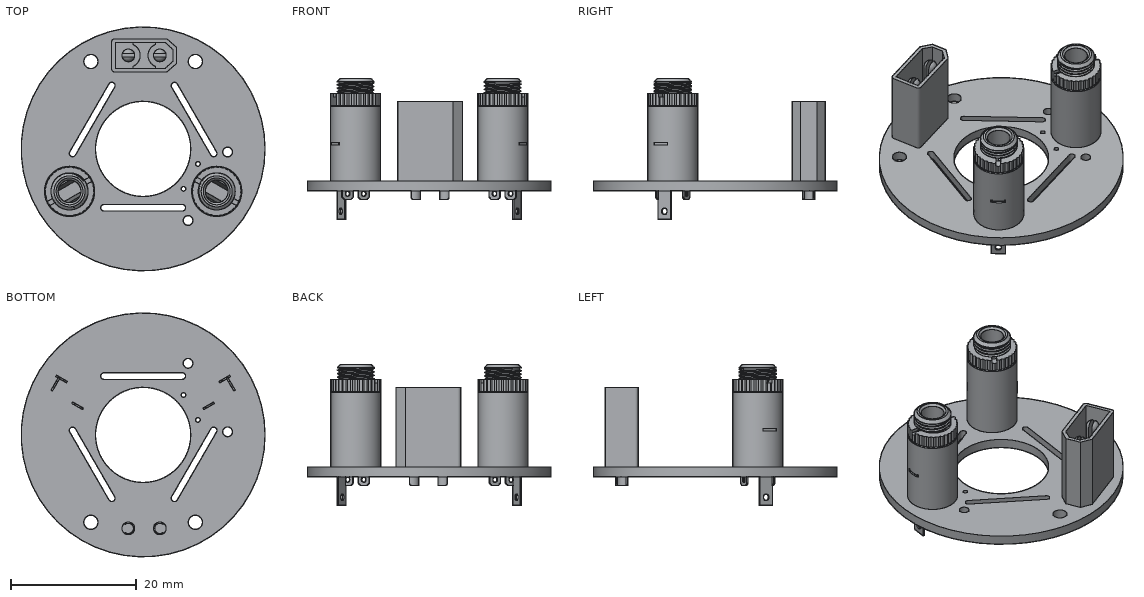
import cadquery as cq
import math


ROUNDING_MARGIN = 0.005

PLATE_DIAMETER = 38.8
PLATE_THICKNESS = 1.6
PLATE_BORE_DIAMETER = 15.1
SLOT_WIDTH = 1.0
SLOT_LENGTH = 13.45
SLOT_RADIUS = 9.35
SLOT_ANGLES = (30, 150, 270)
MOUNT_HOLE_DIAMETER = 2.2
MOUNT_HOLE_X = 8.3
MOUNT_HOLE_Y = 13.9
LARGE_JACK_HOLE_DIAMETER = 1.5
LARGE_JACK_HOLE_PLACE = (11.87, 6.3)
SMALL_JACK_HOLE_DIAMETER = 0.7
SMALL_JACK_HOLE_PLACE = (8.73, 2.3)

CONNECTOR_X = 0.15
CONNECTOR_Y = 14.85
HOUSING_LENGTH = 10.32
HOUSING_WIDTH = 5.28
HOUSING_HEIGHT = 12.6
HOUSING_WALL = 0.6
HOUSING_CORNER_RADIUS = 0.5
KEY_CHAMFER_X = 1.55
KEY_CHAMFER_Y = 1.35
INNER_KEY_CHAMFER_X = 1.2
INNER_KEY_CHAMFER_Y = 1.13
HOUSING_FLOOR_HEIGHT = 4.65
SEAT_DIAMETER = 3.75
SEAT_DEPTH = 0.4
SEAT_SHOULDER = 0.7

PIN_DIAMETER = 2.0
PIN_SPACING = 5.0
PIN_TIP_HEIGHT = 11.52
PIN_SLIT_WIDTH = 0.55
PIN_SLIT_DEPTH = 3.1
PIN_TAIL_LENGTH = 1.4
SOLDER_CUP_DIAMETER = 1.63
SOLDER_CUP_CUT = 0.5
SOLDER_CUP_CORNER_RADIUS = 0.35

JACK_RADIUS = 13.5
LEFT_JACK_ANGLE = 210
RIGHT_JACK_ANGLE = 330
JACK_PLACES = ((LEFT_JACK_ANGLE, 1), (RIGHT_JACK_ANGLE, -1))
JACK_DIAMETER = 8.0
JACK_BODY_HEIGHT = 11.95
JACK_HEIGHT = 16.25
SEAM_HEIGHT = 6.05
JACK_BODY_CHAMFER = 0.15
NUT_TOP_HEIGHT = 13.9
NUT_DIAMETER = 8.0
KNURL_COUNT = 32
KNURL_DEPTH = 0.2
NUT_NOTCH_WIDTH = 0.78
NUT_NOTCH_DEPTH = 0.55
LATCH_WIDTH = 2.4
LATCH_HEIGHT = 0.35
LATCH_DEPTH = 0.3
THREAD_DIAMETER = 5.9
THREAD_ROOT_DIAMETER = 5.3
THREAD_PITCH = 0.55
THREAD_TIP_DIAMETER = 4.93
THREAD_LEAD_LENGTH = 0.55
THREAD_FLANK = 0.4 * THREAD_PITCH
THREAD_EMBED = 0.08
JACK_BORE_DIAMETER = 3.6
JACK_BORE_MOUTH_DIAMETER = 4.25
JACK_FLOOR_HEIGHT = 1.55
SPRING_WIDTH = 2.7
SPRING_FOOT = 0.97
SPRING_RIDGE = 1.5
SPRING_HEIGHT = 7.0
SPRING_BACK_DROP = 0.78
SPRING_EMBED = 0.2

TAB_THICKNESS = 0.27
LONG_TAB_WIDTH = 2.33
LONG_TAB_DROP = 4.55
LONG_TAB_RADIUS = 2.6
LONG_TAB_HOLE_DIAMETER = 1.0
LONG_TAB_HOLE_DROP = 3.25
SHORT_TAB_WIDTH = 1.98
SHORT_TAB_DROP = 1.4
SHORT_TAB_X = 2.17
SHORT_TAB_Y = 1.2
SHORT_TAB_CHAMFER = 0.4
SHORT_TAB_HOLE_DIAMETER = 0.8
SHORT_TAB_HOLE_DROP = 0.45


def cylinder(diameter, bottom, top):
    return cq.Workplane("XY", origin=(0, 0, bottom)).circle(diameter / 2).extrude(top - bottom)


def block(size_x, size_y, bottom, top, x=0.0, y=0.0):
    return cq.Workplane("XY", origin=(x, y, bottom)).rect(size_x, size_y).extrude(top - bottom)


def turned(shape, angle):
    return shape.rotate((0, 0, 0), (0, 0, 1), angle)


def place_at_jack(shape, angle):
    """Turn a shape so that its +X points outward, then move it to a jack's place."""
    return turned(shape.translate((JACK_RADIUS, 0, 0)), angle)


def keyed_outline(length, width, chamfer_x, chamfer_y, bottom, top):
    """A rectangular block with its two +X corners cut off."""
    end_x = length / 2
    side_y = width / 2
    points = [
        (-end_x, -side_y),
        (end_x - chamfer_x, -side_y),
        (end_x, -side_y + chamfer_y),
        (end_x, side_y - chamfer_y),
        (end_x - chamfer_x, side_y),
        (-end_x, side_y),
    ]
    return cq.Workplane("XY", origin=(0, 0, bottom)).polyline(points).close().extrude(top - bottom)


def make_housing():
    shell = keyed_outline(
        HOUSING_LENGTH, HOUSING_WIDTH, KEY_CHAMFER_X, KEY_CHAMFER_Y, 0, HOUSING_HEIGHT
    )
    shell = shell.edges("|Z and <X").fillet(HOUSING_CORNER_RADIUS)
    inner_length = HOUSING_LENGTH - 2 * HOUSING_WALL
    inner_width = HOUSING_WIDTH - 2 * HOUSING_WALL

    def cavity(bottom):
        return keyed_outline(
            inner_length, inner_width, INNER_KEY_CHAMFER_X, INNER_KEY_CHAMFER_Y, bottom, HOUSING_HEIGHT
        )

    shell = shell.cut(cavity(HOUSING_FLOOR_HEIGHT))

    seat_bottom = HOUSING_FLOOR_HEIGHT - SEAT_DEPTH
    for side in (-1, 1):
        pin_x = side * PIN_SPACING / 2
        seat = cylinder(SEAT_DIAMETER, seat_bottom, HOUSING_HEIGHT).translate((pin_x, 0, 0))
        seat_block_x = pin_x + side * (HOUSING_LENGTH / 4 - SEAT_SHOULDER)
        seat = seat.union(
            block(HOUSING_LENGTH / 2, HOUSING_WIDTH, seat_bottom, HOUSING_HEIGHT, seat_block_x)
        )
        shell = shell.cut(seat.intersect(cavity(seat_bottom)))
        shell = shell.cut(cylinder(PIN_DIAMETER, 0, HOUSING_HEIGHT).translate((pin_x, 0, 0)))
    return shell.translate((CONNECTOR_X, CONNECTOR_Y, 0))


def make_pin(side):
    """A round-tipped split pin whose solder cup opens toward the near end of the housing."""
    tail_bottom = -PLATE_THICKNESS - PIN_TAIL_LENGTH
    pin = cylinder(PIN_DIAMETER, tail_bottom, PIN_TIP_HEIGHT)
    pin = pin.faces(">Z").edges().fillet(PIN_DIAMETER / 2 - ROUNDING_MARGIN)
    pin = pin.cut(
        block(PIN_DIAMETER, PIN_SLIT_WIDTH, PIN_TIP_HEIGHT - PIN_SLIT_DEPTH, PIN_TIP_HEIGHT)
    )
    opening_x = side * (SOLDER_CUP_CUT + PIN_DIAMETER / 2)
    pin = pin.cut(block(PIN_DIAMETER, PIN_DIAMETER, tail_bottom, -PLATE_THICKNESS, opening_x))
    cup_corner = (side * SOLDER_CUP_CUT, 0, tail_bottom)
    pin = pin.edges(cq.NearestToPointSelector(cup_corner)).fillet(SOLDER_CUP_CORNER_RADIUS)
    pin = pin.cut(cylinder(SOLDER_CUP_DIAMETER, tail_bottom, -PLATE_THICKNESS))
    return pin.translate((CONNECTOR_X + side * PIN_SPACING / 2, CONNECTOR_Y, 0))


def long_tab():
    bottom = -PLATE_THICKNESS - LONG_TAB_DROP
    tab = block(TAB_THICKNESS, LONG_TAB_WIDTH, bottom, 0, LONG_TAB_RADIUS)
    hole = (
        cq.Workplane("YZ")
        .center(0, -PLATE_THICKNESS - LONG_TAB_HOLE_DROP)
        .circle(LONG_TAB_HOLE_DIAMETER / 2)
        .extrude(JACK_DIAMETER)
    )
    return tab.cut(hole)


def short_tabs(hand):
    bottom = -PLATE_THICKNESS - SHORT_TAB_DROP
    tab = block(SHORT_TAB_WIDTH, TAB_THICKNESS, bottom, 0)
    tab = tab.faces("<Z").edges("|Y").chamfer(SHORT_TAB_CHAMFER)
    hole = (
        cq.Workplane("XZ")
        .center(0, -PLATE_THICKNESS - SHORT_TAB_HOLE_DROP)
        .circle(SHORT_TAB_HOLE_DIAMETER / 2)
        .extrude(TAB_THICKNESS, both=True)
    )
    tab = tab.cut(hole).translate((SHORT_TAB_X, hand * SHORT_TAB_Y, 0))
    return tab.union(turned(tab, 180))


def knurled_nut():
    """A ring of triangular teeth, notched across the top for a pin wrench."""
    outline = []
    for index in range(2 * KNURL_COUNT):
        radius = NUT_DIAMETER / 2 - KNURL_DEPTH * (index % 2)
        angle = math.pi * index / KNURL_COUNT
        outline.append((radius * math.cos(angle), radius * math.sin(angle)))
    nut = (
        cq.Workplane("XY", origin=(0, 0, JACK_BODY_HEIGHT))
        .polyline(outline)
        .close()
        .extrude(NUT_TOP_HEIGHT - JACK_BODY_HEIGHT)
    )
    notch = block(NUT_DIAMETER, NUT_NOTCH_WIDTH, NUT_TOP_HEIGHT - NUT_NOTCH_DEPTH, NUT_TOP_HEIGHT)
    return nut.cut(notch)


def threaded_collar():
    """A core with a helical ridge that starts inside the nut and ends in a chamfered lead ring."""
    root = THREAD_ROOT_DIAMETER / 2
    core = cylinder(THREAD_ROOT_DIAMETER, JACK_BODY_HEIGHT, JACK_HEIGHT - THREAD_LEAD_LENGTH)
    lead = cylinder(THREAD_DIAMETER, JACK_HEIGHT - THREAD_LEAD_LENGTH, JACK_HEIGHT)
    lead = lead.faces(">Z").chamfer((THREAD_DIAMETER - THREAD_TIP_DIAMETER) / 2)
    ridge_profile = [
        (root - THREAD_EMBED, -THREAD_FLANK),
        (root - THREAD_EMBED, THREAD_FLANK),
        (THREAD_DIAMETER / 2, 0),
    ]
    start = NUT_TOP_HEIGHT - THREAD_FLANK
    helix = cq.Wire.makeHelix(THREAD_PITCH, JACK_HEIGHT - THREAD_LEAD_LENGTH - start, root)
    ridge = cq.Workplane("XZ").polyline(ridge_profile).close().sweep(cq.Workplane(obj=helix), isFrenet=True)
    return core.union(lead).union(ridge.translate((0, 0, start)), clean=False)


def contact_springs():
    """Two ridged strips that face each other across the bore."""
    embedded = JACK_BORE_DIAMETER / 2 + SPRING_EMBED
    top = JACK_FLOOR_HEIGHT + SPRING_HEIGHT
    profile = [
        (SPRING_FOOT, JACK_FLOOR_HEIGHT),
        (SPRING_RIDGE, top),
        (embedded, top - SPRING_BACK_DROP),
        (embedded, JACK_FLOOR_HEIGHT),
    ]
    spring = cq.Workplane("YZ").polyline(profile).close().extrude(SPRING_WIDTH / 2, both=True)
    return spring.union(turned(spring, 180))


def make_jack(angle, hand):
    body = cylinder(JACK_DIAMETER, 0, SEAM_HEIGHT)
    latch = block(
        2 * LATCH_DEPTH, LATCH_WIDTH, SEAM_HEIGHT - LATCH_HEIGHT, SEAM_HEIGHT, JACK_DIAMETER / 2
    )
    jack = body.cut(latch)
    upper_body = cylinder(JACK_DIAMETER, SEAM_HEIGHT, JACK_BODY_HEIGHT)
    jack = jack.union(upper_body.faces(">Z").chamfer(JACK_BODY_CHAMFER), clean=False)
    jack = jack.union(knurled_nut(), clean=False).union(threaded_collar(), clean=False)
    jack = jack.cut(cylinder(JACK_BORE_DIAMETER, JACK_FLOOR_HEIGHT, JACK_HEIGHT), clean=False)
    jack = jack.union(contact_springs(), clean=False)
    mouth_depth = (JACK_BORE_MOUTH_DIAMETER - JACK_BORE_DIAMETER) / 2
    mouth = cylinder(JACK_BORE_MOUTH_DIAMETER, JACK_HEIGHT - mouth_depth, JACK_HEIGHT)
    mouth = mouth.faces("<Z").chamfer(mouth_depth - ROUNDING_MARGIN)
    jack = jack.cut(mouth, clean=False)
    jack = jack.union(long_tab(), clean=False).union(short_tabs(hand), clean=False)
    return place_at_jack(jack, angle)


def tab_slots(angle, hand):
    slots = block(TAB_THICKNESS, LONG_TAB_WIDTH, -PLATE_THICKNESS, 0, LONG_TAB_RADIUS)
    for side in (-1, 1):
        slots = slots.union(
            block(
                SHORT_TAB_WIDTH, TAB_THICKNESS, -PLATE_THICKNESS, 0,
                side * SHORT_TAB_X, side * hand * SHORT_TAB_Y,
            )
        )
    return place_at_jack(slots, angle)


def make_plate():
    plate = cylinder(PLATE_DIAMETER, -PLATE_THICKNESS, 0)
    plate = plate.cut(cylinder(PLATE_BORE_DIAMETER, -PLATE_THICKNESS, 0))

    slot = (
        cq.Workplane("XY", origin=(SLOT_RADIUS, 0, -PLATE_THICKNESS))
        .slot2D(SLOT_LENGTH, SLOT_WIDTH, 90)
        .extrude(PLATE_THICKNESS)
    )
    for angle in SLOT_ANGLES:
        plate = plate.cut(turned(slot, angle))

    for side in (-1, 1):
        mount_hole = cylinder(MOUNT_HOLE_DIAMETER, -PLATE_THICKNESS, 0)
        plate = plate.cut(mount_hole.translate((side * MOUNT_HOLE_X, MOUNT_HOLE_Y, 0)))
        for diameter, (along, across) in (
            (LARGE_JACK_HOLE_DIAMETER, LARGE_JACK_HOLE_PLACE),
            (SMALL_JACK_HOLE_DIAMETER, SMALL_JACK_HOLE_PLACE),
        ):
            hole = cylinder(diameter, -PLATE_THICKNESS, 0).translate((along, side * across, 0))
            plate = plate.cut(turned(hole, RIGHT_JACK_ANGLE))
        pin_hole = cylinder(PIN_DIAMETER, -PLATE_THICKNESS, 0)
        pin_x = CONNECTOR_X + side * PIN_SPACING / 2
        plate = plate.cut(pin_hole.translate((pin_x, CONNECTOR_Y, 0)))

    for angle, hand in JACK_PLACES:
        plate = plate.cut(tab_slots(angle, hand))
    return plate


plate = make_plate()
housing = make_housing()
pins = [make_pin(side) for side in (-1, 1)]
jacks = [make_jack(angle, hand) for angle, hand in JACK_PLACES]

result = cq.Compound.makeCompound(
    [
        plate.val(),
        housing.val(),
        *[pin.val() for pin in pins],
        *[jack.val() for jack in jacks],
    ]
)